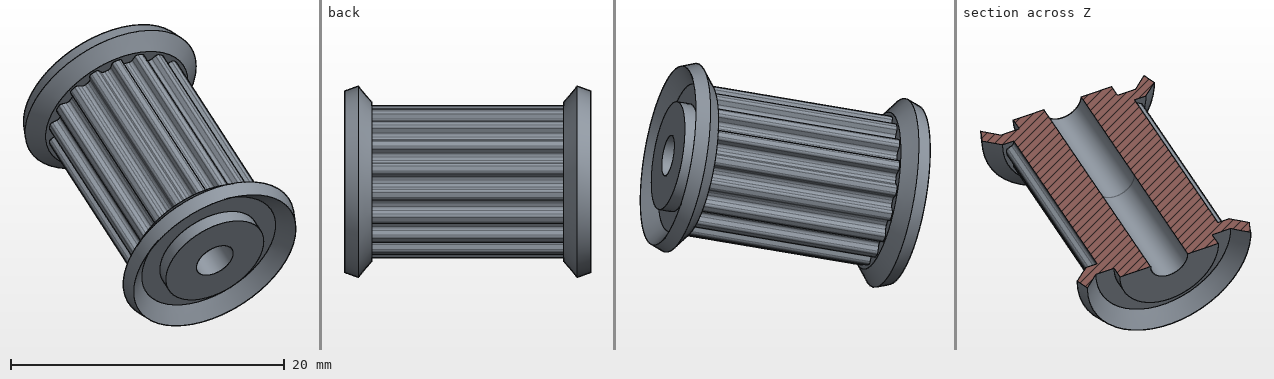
import cadquery as cq
import math

total_length = 18.0
flange_width = 2.0
bore_diameter = 3.0

tooth_count = 18
belt_pitch = 2.032
pitch_line_offset = 0.254
groove_depth = 0.65
groove_floor_width = 0.61
groove_flank_angle = 28.0
groove_root_radius = 0.30
tooth_tip_radius = 0.23
tip_zone_share = 0.9

flange_diameter = 14.0
rim_width = 1.0
rim_angle = 20.0
flange_tooth_clearance = 0.25
dish_depth = 1.0
dish_floor_radius = 5.47
hub_diameter = 8.0

half_length = total_length / 2
toothed_half_length = half_length - flange_width
tooth_outer_radius = tooth_count * belt_pitch / (2 * math.pi) - pitch_line_offset
flange_radius = flange_diameter / 2
flange_inner_radius = tooth_outer_radius + flange_tooth_clearance
rim_end_radius = flange_radius - rim_width * math.tan(math.radians(rim_angle))


def groove_cutter():
    """Groove on the +Y side with rounded root corners, running out past the tooth tips."""
    floor_radius = tooth_outer_radius - groove_depth
    cutter_height = 2 * groove_depth
    mouth_radius = floor_radius + cutter_height
    floor_half_width = groove_floor_width / 2
    mouth_half_width = floor_half_width + cutter_height * math.tan(math.radians(groove_flank_angle))
    cutter = (
        cq.Workplane("YZ")
        .moveTo(floor_radius, -floor_half_width)
        .lineTo(mouth_radius, -mouth_half_width)
        .lineTo(mouth_radius, mouth_half_width)
        .lineTo(floor_radius, floor_half_width)
        .close()
        .extrude(toothed_half_length, both=True)
    )
    return cutter.edges("|X and <Y").fillet(groove_root_radius)


def toothed_sector():
    """One tooth pitch of the body, centred on a groove, with rounded tooth tips."""
    half_pitch_angle = math.pi / tooth_count
    corner_y = tooth_outer_radius * math.cos(half_pitch_angle)
    corner_z = tooth_outer_radius * math.sin(half_pitch_angle)
    sector = (
        cq.Workplane("YZ")
        .lineTo(corner_y, -corner_z)
        .threePointArc((tooth_outer_radius, 0), (corner_y, corner_z))
        .close()
        .extrude(toothed_half_length, both=True)
        .cut(groove_cutter())
    )
    tip_zone_z = tip_zone_share * corner_z
    tip_zone = cq.selectors.BoxSelector(
        (-toothed_half_length, tooth_outer_radius - groove_depth / 2, -tip_zone_z),
        (toothed_half_length, tooth_outer_radius, tip_zone_z),
    )
    return sector.edges("|X").edges(tip_zone).fillet(tooth_tip_radius)


def toothed_body():
    """Ring of identical sectors joined into the toothed barrel."""
    sector = toothed_sector()
    body = sector
    for index in range(1, tooth_count):
        body = body.union(sector.rotate((0, 0, 0), (1, 0, 0), index * 360 / tooth_count))
    return body.clean()


def flange():
    """Dished flange with its central hub, at the +X end."""
    dish_floor_x = half_length - dish_depth
    hub_radius = hub_diameter / 2
    section = (
        cq.Workplane("XY")
        .moveTo(toothed_half_length, 0)
        .lineTo(toothed_half_length, flange_inner_radius)
        .lineTo(half_length - rim_width, flange_radius)
        .lineTo(half_length, rim_end_radius)
        .lineTo(dish_floor_x, dish_floor_radius)
        .lineTo(dish_floor_x, hub_radius)
        .lineTo(half_length, hub_radius)
        .lineTo(half_length, 0)
        .close()
    )
    return section.revolve(360, (0, 0, 0), (1, 0, 0))


def bore():
    """Straight shaft hole through the whole length."""
    return cq.Workplane("YZ").circle(bore_diameter / 2).extrude(half_length, both=True)


end_flange = flange()
result = toothed_body().union(end_flange).union(end_flange.mirror("YZ")).cut(bore())